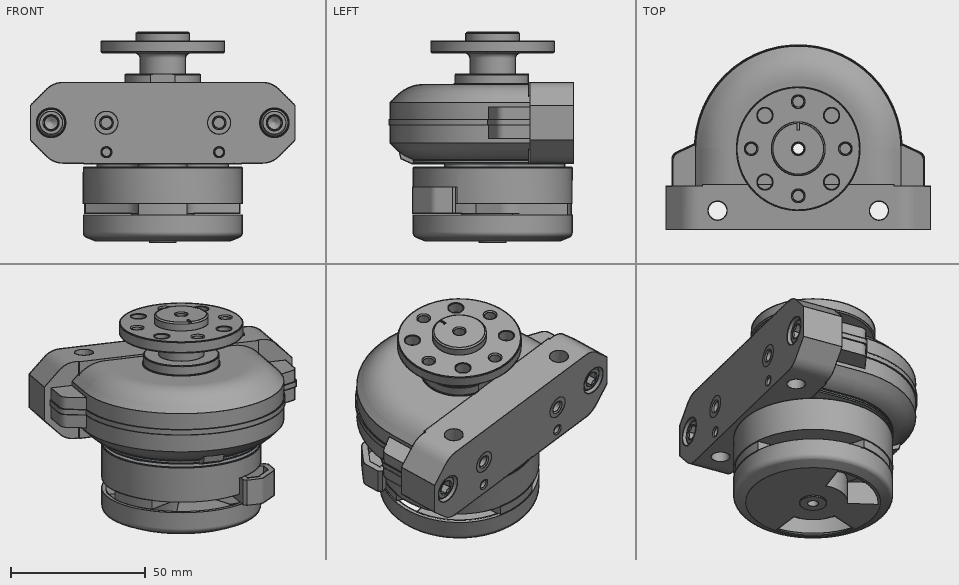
import cadquery as cq
import math


PLATE_LENGTH = 98.0
PLATE_HEIGHT = 30.0
PLATE_FRONT_Y = -30.0
PLATE_BACK_Y = -13.8
END_FACE_HEIGHT = 12.9
CORNER_BLEND = 8.5
PAD_BACK_Y = -13.2
TIE_HOLE_DIAMETER = 7.0
TIE_HOLE_X = 29.9
TIE_HOLE_Y = -22.9
DOWEL_DIAMETER = 3.2
DOWEL_MOUTH = 4.1
DOWEL_DEPTH = 7.8
DOWEL_Z = -10.9

SCREW_X = 41.4
HEAD_DIAMETER = 10.0
HEAD_HEIGHT = 6.0
HEAD_CHAMFER = 0.735
HEAD_SETBACK = 1.0
COUNTERBORE_DIAMETER = 10.8
COUNTERBORE_MOUTH = 11.0
SHANK_DIAMETER = 6.0
SHANK_END_Y = -4.9
SOCKET_FLATS = 5.0
SOCKET_MOUTH = 6.0
SOCKET_DEPTH = 3.9
SOCKET_CONE_DEPTH = 1.5

WALL_RADIUS = 38.0
DOME_FLAT_RADIUS = 25.5
DOME_TOP_Z = 14.2
DOME_BLEND = 14.0
BEVEL = 2.6
BEAD = 0.5
BEAD_TOP_Z = 1.3
BEAD_BOTTOM_Z = -0.8
FOOT_RADIUS = 29.7
FOOT_BOTTOM_Z = -15.2
FOOT_ROOT_Z = -9.8
FOOT_CHAMFER = 0.5
FOOT_GROOVE_TOP_Z = -13.9
FOOT_GROOVE_BOTTOM_Z = -14.7
FOOT_GROOVE_DEPTH = 0.2
COLLAR_RADIUS = 14.0
COLLAR_TOP_Z = 18.0
COLLAR_STEP_RADIUS = 14.4
COLLAR_STEP = 0.3
COLLAR_CHAMFER = 0.3
EAR_X = 46.4
EAR_HALF_HEIGHT = 5.9
EAR_ROOT_Y = 1.6
EAR_SLOPE = 25.0
EAR_BLEND = 3.0
POST_X = 20.9
POST_DIAMETER = 8.5
POST_ROOT = 1.0
POST_TAP_DIAMETER = 4.1
POST_TAP_MOUTH = 5.1
POST_TAP_DEPTH = 9.8
RIB_WIDTH = 7.8
RIB_ROOT_Y = 27.4
RIB_TOP = (34.8, -9.9)
RIB_KNEE = (34.0, -13.3)
RIB_TOE_Y = 29.9

SHAFT_DIAMETER = 17.0
NECK_BLEND = 2.0
FLANGE_RADIUS = 22.9
FLANGE_BOTTOM_Z = 25.9
FLANGE_TOP_Z = 30.4
HUB_RADIUS = 10.0
HUB_TOP_Z = 33.6
RIM_CHAMFER = 0.3
RIM_CHAMFER_BELOW = 0.5
HUB_CHAMFER = 0.6
BOLT_CIRCLE_RADIUS = 17.4
HOLE_COUNT = 8
TAP_DIAMETER = 4.1
TAP_MOUTH = 5.1
CLEARANCE_DIAMETER = 5.5
CLEARANCE_MOUTH = 6.0
CENTRE_BORE = 4.1
CENTRE_MOUTH = 5.0
MARK_WIDTH = 0.8
MARK_LENGTH = 3.0
MARK_DEPTH = 0.5

MOTOR_RADIUS = 29.5
DRUM_TOP_Z = -16.4
DRUM_BOTTOM_Z = -30.0
DRUM_CHAMFER = 0.3
CENTRE_FOOT_RADIUS = 11.6
ARM_HALF_WIDTH = 8.9
UPPER_ARM_REACH = 26.8
LOWER_ARM_REACH = 29.2
ARM_BOTTOM_Z = -33.5
FRONT_ARM_ANGLE = 270
REAR_ARM_ANGLES = (30, 150)
ARM_ANGLES = (*REAR_ARM_ANGLES, FRONT_ARM_ANGLE)
BAY_BLEND = 7.8
CAP_TOP_Z = -34.1
CAP_SIDE_Z = -40.6
CAP_SHOULDER_RADIUS = 29.3
CAP_CONE_RADIUS = 28.5
CAP_CONE_Z = -42.3
CAP_BOTTOM_RADIUS = 25.0
CAP_BOTTOM_Z = -43.8
CAP_BOSS_RADIUS = 5.0
CAP_BOSS_Z = -44.4
CAP_RIM_INNER = 56.0
CAP_RECESS = 0.4
VENT_INNER_RADIUS = 12.7
VENT_FLOOR_RADIUS = 24.0
VENT_HALF_ANGLE = 36.0
TERMINAL_TOP_Z = -23.7
TERMINAL_INNER = 13.7
TERMINAL_OUTER_X = 28.9
TERMINAL_OUTER_Y = 29.7
TERMINAL_BEVEL = 7.8
TERMINAL_BLEND = 2.9
TERMINAL_CHAMFER = 1.2
TERMINAL_WALL = 2.4
TERMINAL_POCKET = 3.9
TERMINAL_GAP = 0.6


def disc(radius, bottom, top):
    """Vertical cylinder on the output axis."""
    return cq.Workplane("XY").workplane(offset=bottom).circle(radius).extrude(top - bottom)


def bore_down(x, y, top, diameter, mouth, depth):
    """Vertical hole with a 45 degree countersunk mouth."""
    sink = (mouth - diameter) / 2
    hole = cq.Workplane("XY", origin=(x, y, top)).circle(diameter / 2).extrude(-depth)
    cone = cq.Solid.makeCone(mouth / 2, diameter / 2, sink, cq.Vector(x, y, top), cq.Vector(0, 0, -1))
    return hole.union(cq.Workplane(cone))


def turned(body, angle):
    """Body turned about the output axis."""
    return body.rotate((0, 0, 0), (0, 0, 1), angle)


def rod_back(x, z, start, end, diameter):
    """Cylinder along Y from start to end."""
    return cq.Workplane("XZ", origin=(x, start, z)).circle(diameter / 2).extrude(start - end)


def bore_back(x, z, start, diameter, mouth, depth):
    """Hole along +Y with a 45 degree countersunk mouth."""
    sink = (mouth - diameter) / 2
    cone = cq.Solid.makeCone(mouth / 2, diameter / 2, sink, cq.Vector(x, start, z), cq.Vector(0, 1, 0))
    return rod_back(x, z, start, start + depth, diameter).union(cq.Workplane(cone))


HEAD_SEAT_Y = PLATE_FRONT_Y + HEAD_SETBACK + HEAD_HEIGHT
DOME_EDGE_RADIUS = DOME_FLAT_RADIUS + DOME_BLEND * math.sin(math.radians(45))


def make_plate():
    corner = (PLATE_HEIGHT - END_FACE_HEIGHT) / 2
    plate = (
        cq.Workplane("XZ", origin=(0, PLATE_BACK_Y, 0))
        .rect(PLATE_LENGTH, PLATE_HEIGHT)
        .extrude(PLATE_BACK_Y - PLATE_FRONT_Y)
        .edges("|Y").chamfer(corner)
    )
    for level in (">Z", "<Z"):
        plate = plate.faces(level).edges("|Y").fillet(CORNER_BLEND)
    pad = (
        cq.Workplane("XZ", origin=(0, PAD_BACK_Y, 0))
        .rect(2 * DOME_EDGE_RADIUS, PLATE_HEIGHT)
        .extrude(PAD_BACK_Y - PLATE_BACK_Y)
    )
    plate = plate.union(pad)
    for side in (-1, 1):
        plate = plate.cut(
            cq.Workplane("XY", origin=(side * TIE_HOLE_X, TIE_HOLE_Y, -PLATE_HEIGHT / 2))
            .circle(TIE_HOLE_DIAMETER / 2).extrude(PLATE_HEIGHT)
        )
        plate = plate.cut(bore_back(side * POST_X, DOWEL_Z, PLATE_FRONT_Y,
                                    DOWEL_DIAMETER, DOWEL_MOUTH, DOWEL_DEPTH))
        plate = plate.cut(rod_back(side * POST_X, 0, PLATE_FRONT_Y, PAD_BACK_Y, POST_DIAMETER))
        plate = plate.cut(bore_back(side * SCREW_X, 0, PLATE_FRONT_Y, COUNTERBORE_DIAMETER,
                                    COUNTERBORE_MOUTH, HEAD_SEAT_Y - PLATE_FRONT_Y))
        plate = plate.cut(rod_back(side * SCREW_X, 0, HEAD_SEAT_Y, PLATE_BACK_Y, SHANK_DIAMETER))
    return plate


def make_screw(x):
    head_top = HEAD_SEAT_Y - HEAD_HEIGHT
    head = rod_back(x, 0, head_top, HEAD_SEAT_Y, HEAD_DIAMETER).faces("<Y").edges().chamfer(HEAD_CHAMFER)
    screw = head.union(rod_back(x, 0, HEAD_SEAT_Y, SHANK_END_Y, SHANK_DIAMETER))
    corners = SOCKET_FLATS / math.cos(math.radians(30))
    socket = cq.Workplane("XZ", origin=(x, head_top, 0)).polygon(6, corners).extrude(-SOCKET_DEPTH)
    socket = socket.rotate((x, 0, 0), (x, 1, 0), 30)
    mouth = cq.Solid.makeCone(SOCKET_MOUTH / 2, SOCKET_FLATS / 2, (SOCKET_MOUTH - SOCKET_FLATS) / 2,
                              cq.Vector(x, head_top, 0), cq.Vector(0, 1, 0))
    tip = cq.Solid.makeCone(SOCKET_FLATS / 2, 0, SOCKET_CONE_DEPTH,
                            cq.Vector(x, head_top + SOCKET_DEPTH, 0), cq.Vector(0, 1, 0))
    return screw.cut(socket).cut(cq.Workplane(mouth)).cut(cq.Workplane(tip))


def arch(radius, bottom, top):
    """Plan shape of a half round with straight sides that run to the plate."""
    return (
        cq.Workplane("XY", origin=(0, 0, bottom))
        .moveTo(-radius, PLATE_BACK_Y).lineTo(radius, PLATE_BACK_Y)
        .lineTo(radius, 0).threePointArc((0, radius), (-radius, 0)).close()
        .extrude(top - bottom)
    )


def make_dome():
    """Rounded drum, carried straight forward to the plate."""
    arc_drop = DOME_BLEND * (1 - math.cos(math.radians(45)))
    arc_mid_x = DOME_FLAT_RADIUS + DOME_BLEND * math.sin(math.radians(22.5))
    arc_mid_z = DOME_TOP_Z - DOME_BLEND * (1 - math.cos(math.radians(22.5)))
    edge_z = DOME_TOP_Z - arc_drop
    section = (
        cq.Workplane("XZ")
        .moveTo(0, -DOME_TOP_Z).lineTo(DOME_FLAT_RADIUS, -DOME_TOP_Z)
        .threePointArc((arc_mid_x, -arc_mid_z), (DOME_EDGE_RADIUS, -edge_z))
        .lineTo(WALL_RADIUS, -edge_z + BEVEL).lineTo(WALL_RADIUS, edge_z - BEVEL)
        .lineTo(DOME_EDGE_RADIUS, edge_z)
        .threePointArc((arc_mid_x, arc_mid_z), (DOME_FLAT_RADIUS, DOME_TOP_Z))
        .lineTo(0, DOME_TOP_Z).close()
        .wire().val()
    )
    half_round = cq.Workplane("XZ").add(section).toPending().revolve(180, (0, 0, 0), (0, 1, 0))
    straight = cq.Workplane("XZ").add(section).toPending().extrude(-PLATE_BACK_Y)
    return half_round.union(straight).union(straight.mirror("YZ"))


def ear_pair(x_end, root_radius, root_y, bottom, top):
    """Both side ears: straight sides with a sloping, rounded back."""
    slope_drop = (x_end - root_radius) * math.tan(math.radians(EAR_SLOPE))
    ear = (
        cq.Workplane("XY", origin=(0, 0, bottom))
        .moveTo(0, PLATE_BACK_Y).lineTo(x_end, PLATE_BACK_Y)
        .lineTo(x_end, root_y - slope_drop).lineTo(root_radius, root_y).lineTo(0, root_y).close()
        .extrude(top - bottom)
    )
    ear = ear.edges(cq.selectors.NearestToPointSelector((x_end, root_y - slope_drop, (bottom + top) / 2)))
    ear = ear.fillet(EAR_BLEND)
    return ear.union(ear.mirror("YZ"))


def make_collar():
    collar = disc(COLLAR_RADIUS, DOME_TOP_Z, COLLAR_TOP_Z).faces(">Z").edges().chamfer(COLLAR_CHAMFER)
    return collar.union(disc(COLLAR_STEP_RADIUS, DOME_TOP_Z, DOME_TOP_Z + COLLAR_STEP))


def make_rear_rib():
    """Small sloping rib under the back of the dome."""
    return (
        cq.Workplane("YZ", origin=(-RIB_WIDTH / 2, 0, 0))
        .polyline([(RIB_ROOT_Y, RIB_TOP[1]), RIB_TOP, RIB_KNEE,
                   (RIB_TOE_Y, FOOT_BOTTOM_Z), (RIB_ROOT_Y, FOOT_BOTTOM_Z)])
        .close().extrude(RIB_WIDTH)
    )


def make_housing():
    foot = arch(FOOT_RADIUS, FOOT_BOTTOM_Z, FOOT_ROOT_Z).faces("<Z").edges().chamfer(FOOT_CHAMFER)
    groove = arch(FOOT_RADIUS, FOOT_GROOVE_BOTTOM_Z, FOOT_GROOVE_TOP_Z).cut(
        arch(FOOT_RADIUS - FOOT_GROOVE_DEPTH, FOOT_GROOVE_BOTTOM_Z, FOOT_GROOVE_TOP_Z))
    foot = foot.cut(groove)
    housing = (
        make_dome()
        .union(foot)
        .union(arch(WALL_RADIUS + BEAD, BEAD_BOTTOM_Z, BEAD_TOP_Z))
        .union(ear_pair(EAR_X, WALL_RADIUS, EAR_ROOT_Y, -EAR_HALF_HEIGHT, EAR_HALF_HEIGHT))
        .union(ear_pair(EAR_X + BEAD, WALL_RADIUS, EAR_ROOT_Y + BEAD, BEAD_BOTTOM_Z, BEAD_TOP_Z))
        .union(make_rear_rib())
        .union(make_collar())
    )
    in_front_of_pad = (
        cq.Workplane("XZ", origin=(0, PAD_BACK_Y, 0))
        .rect(2 * DOME_EDGE_RADIUS, 2 * COLLAR_TOP_Z)
        .extrude(PAD_BACK_Y - PLATE_FRONT_Y)
    )
    housing = housing.cut(in_front_of_pad)
    for side in (-1, 1):
        post = rod_back(side * POST_X, 0, PLATE_FRONT_Y, PAD_BACK_Y + POST_ROOT, POST_DIAMETER)
        housing = housing.union(post)
        housing = housing.cut(bore_back(side * POST_X, 0, PLATE_FRONT_Y,
                                        POST_TAP_DIAMETER, POST_TAP_MOUTH, POST_TAP_DEPTH))
        housing = housing.cut(rod_back(side * SCREW_X, 0, PLATE_BACK_Y, SHANK_END_Y, SHANK_DIAMETER))
    return housing.cut(disc(SHAFT_DIAMETER / 2, FOOT_BOTTOM_Z, COLLAR_TOP_Z))


def make_output():
    """Shaft, flange and hub, from the motor drum upward."""
    shaft = disc(SHAFT_DIAMETER / 2, DRUM_TOP_Z, FLANGE_BOTTOM_Z)
    flange = disc(FLANGE_RADIUS, FLANGE_BOTTOM_Z, FLANGE_TOP_Z)
    flange = flange.faces(">Z").edges().chamfer(RIM_CHAMFER)
    flange = flange.faces("<Z").edges().chamfer(RIM_CHAMFER_BELOW)
    output = shaft.union(flange)
    output = output.edges(cq.selectors.RadiusNthSelector(0)).edges(">Z").fillet(NECK_BLEND)
    hub = disc(HUB_RADIUS, FLANGE_TOP_Z, HUB_TOP_Z).faces(">Z").edges().chamfer(HUB_CHAMFER)
    output = output.union(hub)
    mark = (
        cq.Workplane("XY", origin=(0, HUB_RADIUS - MARK_LENGTH / 2, HUB_TOP_Z))
        .rect(MARK_WIDTH, MARK_LENGTH).extrude(-MARK_DEPTH)
    )
    output = output.cut(mark)
    thickness = FLANGE_TOP_Z - FLANGE_BOTTOM_Z
    for index in range(HOLE_COUNT):
        angle = math.radians(360 / HOLE_COUNT * index)
        x = BOLT_CIRCLE_RADIUS * math.cos(angle)
        y = BOLT_CIRCLE_RADIUS * math.sin(angle)
        if index % 2 == 0:
            hole = bore_down(x, y, FLANGE_TOP_Z, TAP_DIAMETER, TAP_MOUTH, thickness)
        else:
            hole = bore_down(x, y, FLANGE_TOP_Z, CLEARANCE_DIAMETER, CLEARANCE_MOUTH, thickness)
        output = output.cut(hole)
    return output


def round_arm(reach, bottom, top):
    """Spider arm along +X with a half round tip."""
    straight = reach - ARM_HALF_WIDTH
    return (
        cq.Workplane("XY", origin=(0, 0, bottom))
        .moveTo(0, -ARM_HALF_WIDTH).lineTo(straight, -ARM_HALF_WIDTH)
        .threePointArc((reach, 0), (straight, ARM_HALF_WIDTH))
        .lineTo(0, ARM_HALF_WIDTH).close().extrude(top - bottom)
    )


def wide_arm(reach, bottom, top):
    """Spider arm along +X that ends on a circle about the axis."""
    arm = (
        cq.Workplane("XY", origin=(reach / 2, 0, bottom))
        .rect(reach, 2 * ARM_HALF_WIDTH).extrude(top - bottom)
    )
    return arm.intersect(disc(reach, bottom, top))


def make_spider(arm, bottom, top):
    """Three copies of an arm, with the bays between them rounded out."""
    spider = turned(arm, ARM_ANGLES[0])
    for angle in ARM_ANGLES[1:]:
        spider = spider.union(turned(arm, angle))
    bay_radius = ARM_HALF_WIDTH / math.sin(math.radians(60))
    for angle in ARM_ANGLES:
        bay = math.radians(angle + 60)
        corner = (bay_radius * math.cos(bay), bay_radius * math.sin(bay), (bottom + top) / 2)
        spider = spider.edges(cq.selectors.NearestToPointSelector(corner)).fillet(BAY_BLEND)
    return spider


def make_spiders():
    """Spiders above and below the drum, with the feet that stand on the cap."""
    upper = make_spider(round_arm(UPPER_ARM_REACH, DRUM_TOP_Z, FOOT_BOTTOM_Z), DRUM_TOP_Z, FOOT_BOTTOM_Z)
    lower = make_spider(wide_arm(LOWER_ARM_REACH, ARM_BOTTOM_Z, DRUM_BOTTOM_Z), ARM_BOTTOM_Z, DRUM_BOTTOM_Z)
    foot_bottom = CAP_TOP_Z - CAP_RECESS
    front_foot = turned(wide_arm(LOWER_ARM_REACH, foot_bottom, ARM_BOTTOM_Z), FRONT_ARM_ANGLE)
    centre_foot = disc(CENTRE_FOOT_RADIUS, foot_bottom, ARM_BOTTOM_Z)
    return upper.union(lower).union(front_foot).union(centre_foot)


def make_cap():
    cap = (
        cq.Workplane("XZ")
        .moveTo(0, CAP_TOP_Z).lineTo(MOTOR_RADIUS, CAP_TOP_Z).lineTo(MOTOR_RADIUS, CAP_SIDE_Z)
        .threePointArc((CAP_SHOULDER_RADIUS, (CAP_SIDE_Z + CAP_CONE_Z) / 2), (CAP_CONE_RADIUS, CAP_CONE_Z))
        .lineTo(CAP_BOTTOM_RADIUS, CAP_BOTTOM_Z).lineTo(CAP_BOSS_RADIUS, CAP_BOTTOM_Z)
        .lineTo(CAP_BOSS_RADIUS, CAP_BOSS_Z).lineTo(0, CAP_BOSS_Z).close()
        .revolve(360, (0, 0, 0), (0, 1, 0))
    )
    return cap.cut(disc(CAP_RIM_INNER / 2, CAP_TOP_Z - CAP_RECESS, CAP_TOP_Z))


def make_vent(angle):
    """Ring sector opening through the cap floor."""
    section = (
        cq.Workplane("XZ")
        .polyline([(VENT_INNER_RADIUS, CAP_TOP_Z), (CAP_RIM_INNER / 2, CAP_TOP_Z),
                   (CAP_RIM_INNER / 2, CAP_SIDE_Z), (VENT_FLOOR_RADIUS, CAP_BOTTOM_Z),
                   (VENT_INNER_RADIUS, CAP_BOTTOM_Z)])
        .close()
    )
    sector = section.revolve(2 * VENT_HALF_ANGLE, (0, 0, 0), (0, 1, 0))
    return turned(sector, angle - VENT_HALF_ANGLE)


def terminal_block(offset, bottom, top):
    """Square block with its outer corner bevelled, grown outward all round by offset."""
    low = TERMINAL_INNER - offset
    left = TERMINAL_OUTER_X + offset
    back = TERMINAL_OUTER_Y + offset
    bevel = TERMINAL_BEVEL + offset * (2 - math.sqrt(2))
    return (
        cq.Workplane("XY", origin=(0, 0, bottom))
        .polyline([(-low, low), (-left, low), (-left, back - bevel), (bevel - left, back), (-low, back)])
        .close().extrude(top - bottom)
        .edges("|Z").edges(">(-1, 1, 0)").fillet(TERMINAL_BLEND + offset)
    )


def make_motor():
    drum = disc(MOTOR_RADIUS, DRUM_BOTTOM_Z, DRUM_TOP_Z).faces(">Z").edges().chamfer(DRUM_CHAMFER)
    drum = drum.cut(terminal_block(TERMINAL_GAP, DRUM_BOTTOM_Z, TERMINAL_TOP_Z))
    pocket = terminal_block(-TERMINAL_WALL, TERMINAL_TOP_Z - TERMINAL_POCKET, TERMINAL_TOP_Z)
    terminal = terminal_block(0, ARM_BOTTOM_Z, TERMINAL_TOP_Z)
    for side_edge in ("<(1, 0.1, 0)", ">(0.1, 1, 0)"):
        terminal = terminal.edges("|Z").edges(side_edge).chamfer(TERMINAL_CHAMFER)
    terminal = terminal.cut(pocket)
    cap = make_cap()
    for angle in REAR_ARM_ANGLES:
        cap = cap.cut(make_vent(angle))
    motor = drum.union(terminal).union(make_spiders()).union(cap).union(make_output())
    return motor.cut(bore_down(0, 0, HUB_TOP_Z, CENTRE_BORE, CENTRE_MOUTH, HUB_TOP_Z - CAP_BOSS_Z))


plate = make_plate()
housing = make_housing()
motor = make_motor()
screws = [make_screw(side * SCREW_X) for side in (-1, 1)]

result = cq.Compound.makeCompound(
    [body.solids().val() for body in (plate, housing, motor, *screws)]
)